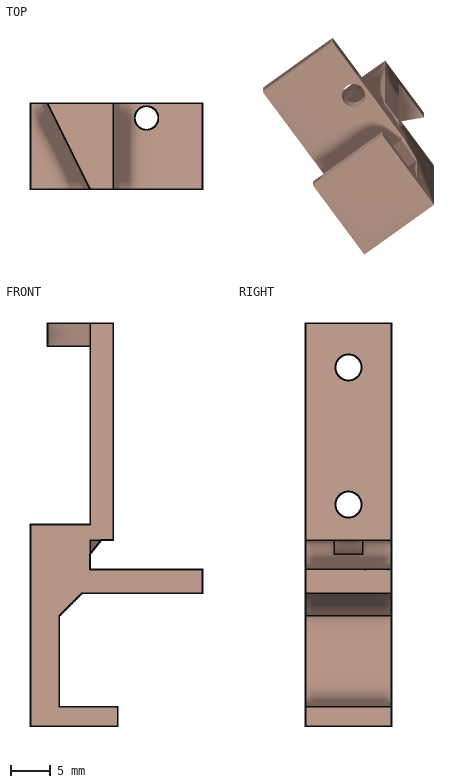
import cadquery as cq

length = 21.9
width = 11.0
height = 51.3

column_thickness = 3.7
step_top = 25.7
step_thickness = 2.0
plate_front = 7.6
plate_thickness = 3.0
step_bottom = step_top - step_thickness
plate_back = plate_front + plate_thickness

top_lip_tip = 2.15
top_lip_thickness = 3.0

base_lip_end = 11.15
base_lip_thickness = 2.5

shelf_bottom = 16.95
shelf_thickness = 3.05
block_chamfer = 2.85

rib_length = 1.45
rib_height = 1.8
rib_width = 3.6

screw_diameter = 3.3
screw_heights = (28.25, 45.7)
shelf_hole_diameter = 3.0
shelf_hole_x = 14.8
shelf_hole_edge_distance = 1.9


def side_profile(points, y_start=0.0, depth=width):
    """Extrude an XZ outline along +Y from y_start."""
    plane = cq.Workplane("XZ", origin=(0, y_start, 0))
    return plane.polyline(points).close().extrude(-depth)


def slab(x_start, x_end, z_bottom, thickness):
    """Full-width box between two X positions."""
    size = (x_end - x_start, width, thickness)
    return cq.Workplane("XY").box(*size, centered=False).translate((x_start, 0, z_bottom))


upright = side_profile([
    (0, 0),
    (column_thickness, 0),
    (column_thickness, step_bottom),
    (plate_back, step_bottom),
    (plate_back, height),
    (plate_front, height),
    (plate_front, step_top),
    (0, step_top),
])

block = side_profile([
    (column_thickness, step_bottom),
    (plate_front, step_bottom),
    (plate_front, shelf_bottom),
    (column_thickness + block_chamfer, shelf_bottom),
    (column_thickness, shelf_bottom - block_chamfer),
])

shelf = slab(plate_front, length, shelf_bottom, shelf_thickness)
base_lip = slab(column_thickness, base_lip_end, 0, base_lip_thickness)

top_lip = (
    cq.Workplane("XY", origin=(0, 0, height - top_lip_thickness))
    .polyline([(plate_front, 0), (plate_front, width), (top_lip_tip, width)])
    .close()
    .extrude(top_lip_thickness)
)

rib = side_profile(
    [
        (plate_front, step_bottom),
        (plate_front + rib_length, step_bottom),
        (plate_front, step_bottom - rib_height),
    ],
    y_start=(width - rib_width) / 2,
    depth=rib_width,
)

body = upright.union(block).union(shelf).union(base_lip).union(top_lip).union(rib)

screw_holes = (
    cq.Workplane("YZ", origin=(plate_front, 0, 0))
    .pushPoints([(width / 2, z) for z in screw_heights])
    .circle(screw_diameter / 2)
    .extrude(plate_thickness)
)

shelf_hole = (
    cq.Workplane("XY", origin=(0, 0, shelf_bottom))
    .center(shelf_hole_x, width - shelf_hole_edge_distance)
    .circle(shelf_hole_diameter / 2)
    .extrude(shelf_thickness)
)

result = body.cut(screw_holes).cut(shelf_hole)